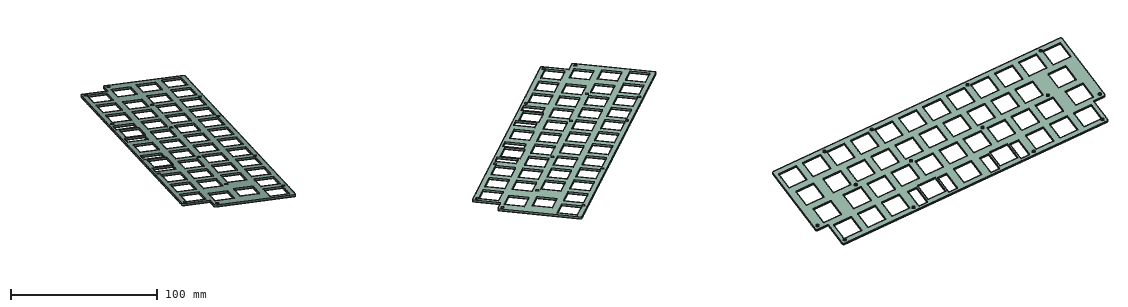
import cadquery as cq


THICKNESS = 1.6
PLATE_LENGTH = 229.56
PLATE_WIDTH = 78.62
CORNER_RADIUS = 1.2

UNIT = 19.05
SWITCH_SIZE = 14.1
END_GAP = 9.5

TOP_ROW = [1.0] * 12
SECOND_ROW = [1.25] + [1.0] * 9 + [1.75]
THIRD_ROW = [1.5] + [1.0] * 9 + [1.5]
BOTTOM_ROW = [1.0, 1.0, 1.0, 2.0, 1.0, 2.0, 1.0, 1.0, 1.0]
ROWS = [TOP_ROW, SECOND_ROW, THIRD_ROW, BOTTOM_ROW]
STABILIZED_WIDTH = 2.0

SWITCH_SPAN = (sum(TOP_ROW) - 1) * UNIT + SWITCH_SIZE
SIDE_MARGIN = (PLATE_LENGTH - SWITCH_SPAN) / 2

STABILIZER_LENGTH = 7.0
STABILIZER_WIDTH = 14.9
STABILIZER_OFFSET_X = 11.9
STABILIZER_OFFSET_Y = -1.4

SCREW_DIAMETER = 2.2
EDGE_SCREW_Y = 36.45
TOP_SCREW_XS = [-74.8, -37.4, 38.6, 96.7]
BOTTOM_SCREW_XS = [47.7, 102.3]
SHOULDER_SCREW_X = 112.0
SHOULDER_SCREW_Y = -16.6
INNER_SCREWS = [(-71.3, 0.7), (81.1, 0.7), (-28.4, -0.7), (28.4, -0.7)]


def row_y(row):
    """Centre Y of a key row, counted from the top."""
    return ((len(ROWS) - 1) / 2 - row) * UNIT


def key_centers(widths):
    """Centre X and width of each key in a row centred on X = 0."""
    left = -sum(widths) * UNIT / 2
    centers = []
    for width in widths:
        centers.append((left + width * UNIT / 2, width))
        left += width * UNIT
    return centers


def plate_blank():
    """Full-length upper part with a shorter tab along the bottom row."""
    top = PLATE_WIDTH / 2
    shoulder = row_y(ROWS.index(THIRD_ROW)) - SWITCH_SIZE / 2 - SIDE_MARGIN
    half = PLATE_LENGTH / 2
    tab_half = half - END_GAP
    outline = [
        (-half, top),
        (half, top),
        (half, shoulder),
        (tab_half, shoulder),
        (tab_half, -top),
        (-tab_half, -top),
        (-tab_half, shoulder),
        (-half, shoulder),
    ]

    blank = cq.Workplane("XY").polyline(outline).close().extrude(THICKNESS)
    for x, y in [(half, top), (half, shoulder), (tab_half, -top)]:
        for side in (-1, 1):
            corner = cq.selectors.NearestToPointSelector((side * x, y, THICKNESS / 2))
            blank = blank.edges("|Z").edges(corner).fillet(CORNER_RADIUS)
    return blank


def openings(centers, length, width):
    """Rectangular through-cutters at the given centres."""
    return cq.Workplane("XY").pushPoints(centers).rect(length, width).extrude(THICKNESS)


def switch_and_stabilizer_openings():
    """Cutters for every key, and for the stabilizer pair of each wide key."""
    switches = []
    stabilizers = []
    for row, widths in enumerate(ROWS):
        for x, width in key_centers(widths):
            switches.append((x, row_y(row)))
            if width == STABILIZED_WIDTH:
                y = row_y(row) + STABILIZER_OFFSET_Y
                stabilizers.append((x - STABILIZER_OFFSET_X, y))
                stabilizers.append((x + STABILIZER_OFFSET_X, y))
    return (
        openings(switches, SWITCH_SIZE, SWITCH_SIZE),
        openings(stabilizers, STABILIZER_LENGTH, STABILIZER_WIDTH),
    )


def screw_holes():
    """Cutters for all the screw holes."""
    centers = list(INNER_SCREWS)
    centers += [(x, EDGE_SCREW_Y) for x in TOP_SCREW_XS]
    for side in (-1, 1):
        centers += [(side * x, -EDGE_SCREW_Y) for x in BOTTOM_SCREW_XS]
        centers.append((side * SHOULDER_SCREW_X, SHOULDER_SCREW_Y))
    return cq.Workplane("XY").pushPoints(centers).circle(SCREW_DIAMETER / 2).extrude(THICKNESS)


result = plate_blank()
for cutter in switch_and_stabilizer_openings():
    result = result.cut(cutter)
result = result.cut(screw_holes())